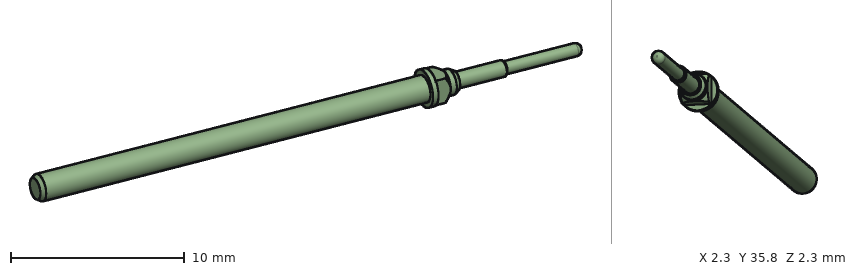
import cadquery as cq
import math

total_length = 35.8

pin_end = 5.0
sleeve_start = 5.12
sleeve_end = 8.25
cone_end = 8.55
neck_end = 8.95
collar_start = 9.95
collar_end = 10.3

pin_diameter = 0.8
sleeve_diameter = 1.0
cone_small_diameter = 1.2
neck_diameter = 1.58
collar_diameter = 2.3
barrel_diameter = 1.65

square_width = 1.6
square_lead_angle = 45.0

tip_round = 0.35
barrel_chamfer_length = 0.3
barrel_chamfer_depth = 0.18


def along(distance_from_tip):
    """Y position of a point measured back from the contact tip."""
    return total_length / 2 - distance_from_tip


def cylinder(diameter, start, end):
    """Round section around Y between two distances from the contact tip."""
    plane = cq.Workplane("XZ", origin=(0, along(start), 0))
    return plane.circle(diameter / 2).extrude(end - start)


def cone(start_diameter, end_diameter, start, end):
    """Tapered round section around Y between two distances from the contact tip."""
    outline = [
        (0, along(start)),
        (start_diameter / 2, along(start)),
        (end_diameter / 2, along(end)),
        (0, along(end)),
    ]
    return cq.Workplane("XY").polyline(outline).close().revolve(360, (0, 0), (0, 1))


def contact_pin():
    """Thin contact pin with a rounded tip, flared into the sleeve."""
    pin = cylinder(pin_diameter, 0, pin_end).faces(">Y").edges().fillet(tip_round)
    flare = cone(pin_diameter, sleeve_diameter, pin_end, sleeve_start)
    return pin.union(flare)


def wrench_square():
    """Square section whose corners are led in by a cone that starts at the neck."""
    lead_rise = (collar_diameter - neck_diameter) / 2
    lead_end = neck_end + lead_rise / math.tan(math.radians(square_lead_angle))
    lead = cone(neck_diameter, collar_diameter, neck_end, lead_end)
    envelope = lead.union(cylinder(collar_diameter, lead_end, collar_start))
    length = collar_start - neck_end
    middle = along((neck_end + collar_start) / 2)
    block = cq.Workplane("XY").box(square_width, length, square_width).translate((0, middle, 0))
    return envelope.intersect(block)


def barrel():
    """Long round barrel with a chamfered back end."""
    body = cylinder(barrel_diameter, collar_end, total_length - barrel_chamfer_length)
    end_diameter = barrel_diameter - 2 * barrel_chamfer_depth
    chamfer = cone(barrel_diameter, end_diameter, total_length - barrel_chamfer_length, total_length)
    return body.union(chamfer)


result = (
    contact_pin()
    .union(cylinder(sleeve_diameter, sleeve_start, sleeve_end))
    .union(cone(cone_small_diameter, neck_diameter, sleeve_end, cone_end))
    .union(cylinder(neck_diameter, cone_end, neck_end))
    .union(wrench_square())
    .union(cylinder(collar_diameter, collar_start, collar_end))
    .union(barrel())
)